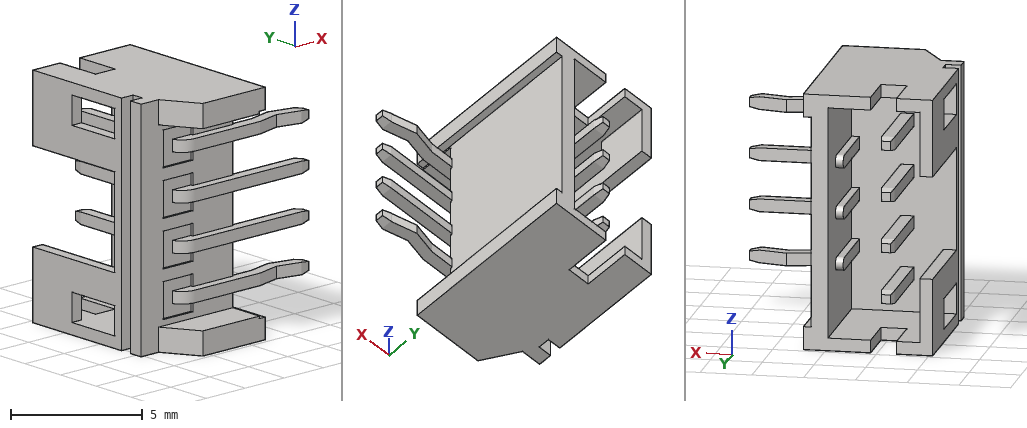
import cadquery as cq


BODY_WIDTH = 5.0
BODY_DEPTH = 6.1
BODY_HEIGHT = 10.0
HALF_HEIGHT = BODY_HEIGHT / 2

WALL = 0.5
CAVITY_FLOOR_Y = 1.5
CAVITY_END_X = 4.05

WING_LENGTH = 1.5
WING_THICKNESS = 1.0
WING_START_X = 0.9
WING_CORNER_X = 1.8

RELIEF_DEPTH = 0.3
RELIEF_MARGIN = 0.9
RELIEF_HEIGHT = BODY_HEIGHT - 2 * RELIEF_MARGIN

MOUTH_HEIGHT = 4.0
WINDOW_HEIGHT = 1.2
WINDOW_LENGTH = 2.4
WINDOW_CENTER_Z = HALF_HEIGHT - WALL - WINDOW_HEIGHT / 2
GROOVE_START_Y = 0.6
GROOVE_WIDTH = 0.5
GROOVE_DEPTH = 0.6

END_SLOT_WIDTH = 1.0
END_SLOT_DEPTH = 2.0

RIB_WIDTH = 0.5
RIB_PROJECTION = 0.3
RIB_TOP_Y = 4.65

PITCH = 2.0
PIN_COUNT = 4
PIN_SIZE = 0.5
PIN_X = 1.9
PIN_TOP_Y = 5.6
PIN_END_X = 8.3
TIP_LENGTH = 0.4
TIP_SIZE = 0.35
BEND_INNER_RADIUS = 0.25
BEND_OUTER_RADIUS = BEND_INNER_RADIUS + PIN_SIZE
KINK_START_X = 5.75
KINK_PEAK_X = 6.8
KINK_END_X = 2 * KINK_PEAK_X - KINK_START_X
KINK_LIFT = 0.25

POCKET_SIZE = 1.5
POCKET_DEPTH = 0.1

PIN_POSITIONS = [(i - (PIN_COUNT - 1) / 2) * PITCH for i in range(PIN_COUNT)]
RIB_POSITIONS = [(low + high) / 2 for low, high in zip(PIN_POSITIONS, PIN_POSITIONS[1:])]


def block(x_start, x_end, y_start, y_end, z_center, height):
    """Box given by its X and Y limits and its centre and height in Z."""
    box = cq.Workplane("XY").box(x_end - x_start, y_end - y_start, height, centered=(False, False, True))
    return box.translate((x_start, y_start, z_center))


def make_wing(side):
    """Wing with a sloping edge; side is +1 for the upper one, -1 for the lower."""
    wing = (
        cq.Workplane("XY")
        .moveTo(WING_START_X, 0)
        .lineTo(WING_CORNER_X, -WING_LENGTH)
        .lineTo(BODY_WIDTH, -WING_LENGTH)
        .lineTo(BODY_WIDTH, 0)
        .close()
        .extrude(WING_THICKNESS / 2, both=True)
    )
    return wing.translate((0, 0, side * (HALF_HEIGHT - WING_THICKNESS / 2)))


def make_rib(z):
    """Rib rising from the cavity floor, with a rounded free end."""
    half = RIB_WIDTH / 2
    straight_end_y = RIB_TOP_Y - half
    return (
        cq.Workplane("YZ", origin=(CAVITY_END_X - RIB_PROJECTION, 0, z))
        .moveTo(CAVITY_FLOOR_Y, -half)
        .lineTo(straight_end_y, -half)
        .threePointArc((RIB_TOP_Y, 0), (straight_end_y, half))
        .lineTo(CAVITY_FLOOR_Y, half)
        .close()
        .extrude(RIB_PROJECTION)
    )


def make_housing():
    housing = block(0, BODY_WIDTH, 0, BODY_DEPTH, 0, BODY_HEIGHT)
    for side in (1, -1):
        housing = housing.union(make_wing(side))

    cavity = block(WALL, CAVITY_END_X, CAVITY_FLOOR_Y, BODY_DEPTH, 0, BODY_HEIGHT - 2 * WALL)
    relief = block(BODY_WIDTH - RELIEF_DEPTH, BODY_WIDTH, -WING_LENGTH, BODY_DEPTH, 0, RELIEF_HEIGHT)
    mouth = block(0, WALL, CAVITY_FLOOR_Y, BODY_DEPTH, 0, MOUTH_HEIGHT)
    groove = block(0, GROOVE_DEPTH, GROOVE_START_Y, GROOVE_START_Y + GROOVE_WIDTH, 0, BODY_HEIGHT)
    end_slots = block(
        PIN_X - END_SLOT_WIDTH / 2,
        PIN_X + END_SLOT_WIDTH / 2,
        BODY_DEPTH - END_SLOT_DEPTH,
        BODY_DEPTH,
        0,
        BODY_HEIGHT,
    )
    housing = housing.cut(cavity).cut(relief).cut(mouth).cut(groove).cut(end_slots)

    window_end_y = CAVITY_FLOOR_Y + WINDOW_LENGTH
    for side in (1, -1):
        window = block(0, WALL, CAVITY_FLOOR_Y, window_end_y, side * WINDOW_CENTER_Z, WINDOW_HEIGHT)
        housing = housing.cut(window)

    for z in PIN_POSITIONS:
        pocket = block(PIN_X - POCKET_SIZE / 2, PIN_X + POCKET_SIZE / 2, 0, POCKET_DEPTH, z, POCKET_SIZE)
        housing = housing.cut(pocket)

    for z in RIB_POSITIONS:
        housing = housing.union(make_rib(z))
    return housing


def make_tip(plane):
    """Tapered pin point, starting at the origin of the given plane."""
    return (
        cq.Workplane(plane)
        .rect(PIN_SIZE, PIN_SIZE)
        .workplane(offset=TIP_LENGTH)
        .rect(TIP_SIZE, TIP_SIZE)
        .loft(ruled=True)
    )


def make_pin(z, kinked):
    """Square pin bent from +Y to +X; a kinked tail bulges towards +Y."""
    half = PIN_SIZE / 2
    inner_y = POCKET_DEPTH
    outer_y = inner_y - PIN_SIZE
    left_x = PIN_X - half
    right_x = PIN_X + half
    contact_end_y = PIN_TOP_Y - TIP_LENGTH
    tail_end_x = PIN_END_X - TIP_LENGTH

    pin = (
        cq.Workplane("XY")
        .moveTo(left_x, contact_end_y)
        .lineTo(left_x, outer_y + BEND_OUTER_RADIUS)
        .radiusArc((left_x + BEND_OUTER_RADIUS, outer_y), -BEND_OUTER_RADIUS)
    )
    if kinked:
        pin = pin.lineTo(KINK_START_X, outer_y).lineTo(KINK_PEAK_X, outer_y + KINK_LIFT)
        pin = pin.lineTo(KINK_END_X, outer_y)
    pin = pin.lineTo(tail_end_x, outer_y).lineTo(tail_end_x, inner_y)
    if kinked:
        pin = pin.lineTo(KINK_END_X, inner_y).lineTo(KINK_PEAK_X, inner_y + KINK_LIFT)
        pin = pin.lineTo(KINK_START_X, inner_y)
    pin = (
        pin.lineTo(right_x + BEND_INNER_RADIUS, inner_y)
        .radiusArc((right_x, inner_y + BEND_INNER_RADIUS), BEND_INNER_RADIUS)
        .lineTo(right_x, contact_end_y)
        .close()
        .extrude(half, both=True)
    )

    contact_tip = make_tip(cq.Plane((PIN_X, contact_end_y, 0), (1, 0, 0), (0, 1, 0)))
    tail_tip = make_tip(cq.Plane((tail_end_x, inner_y - half, 0), (0, 1, 0), (1, 0, 0)))
    return pin.union(contact_tip).union(tail_tip).translate((0, 0, z))


result = make_housing()
for pin_z in PIN_POSITIONS:
    is_outer_pin = pin_z in (PIN_POSITIONS[0], PIN_POSITIONS[-1])
    result = result.union(make_pin(pin_z, kinked=is_outer_pin))